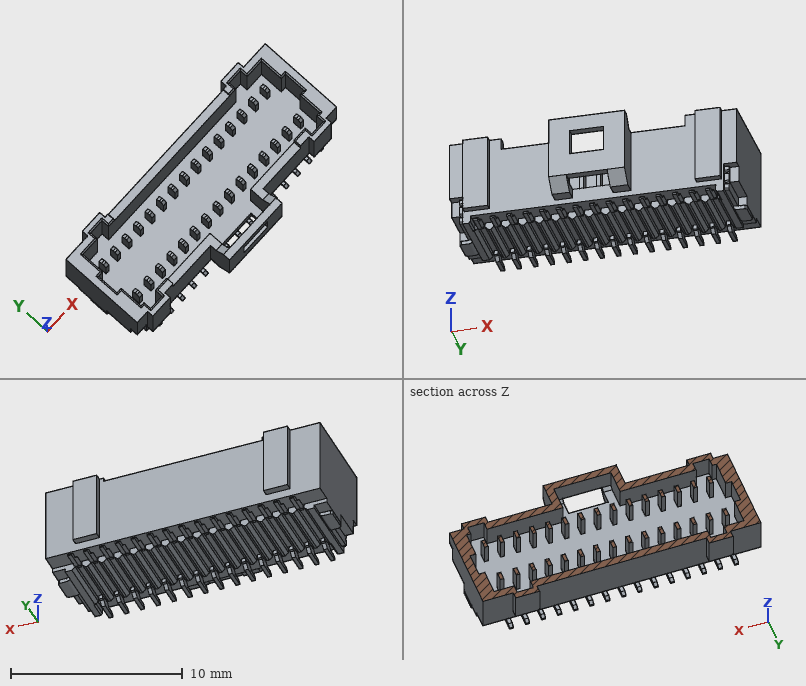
import cadquery as cq

length = 17.3
height = 5.4
half_length = length / 2
half_depth = 2.8
contact_count = 15
row_span = 14.0
pitch = row_span / (contact_count - 1)

base_bottom = 0.52
cavity_floor = 1.42
wall_foot = 0.26
rib_bottom = 0.05
rib_back = 1.76

cavity_half_length = 7.75
cavity_half_depth = 2.28
end_notch_half_length = 8.11
end_notch_half_width = 0.73
lead_in = 0.1

channel_width = 0.99
pad_wall_end = 0.26
pad_reach = 3.22
back_channel_outer = 6.5
front_channel_outer = 7.49
pad_width = 1.5
back_pad_bottom = 1.05
front_pad_bottom = 0.85

back_rim = 5.17
back_rim_half_length = 5.0
front_rim = 4.7
front_rim_half_length = 5.54

latch_half_width = 2.28
latch_wall = 0.52
latch_front = 4.29
latch_plate_back = 3.8
latch_bottom = 0.85
latch_chamfer_top = 1.61
latch_chamfer_back = 3.51
latch_slope_start = 3.24
latch_ledge_end = 3.6
latch_gap_half_width = 1.23
window_half_width = 1.02
window_bottom = 2.98
window_top = 4.5

rib_width = 0.55
rib_tip_width = 0.14
rib_shoulder = 0.25
end_rib_inner = 7.39
end_rib_chamfer = 0.1

contact_width = 0.25
pin_inner = 1.04
pin_outer = 1.6
pin_top = 3.34
pin_taper = 0.2
lead_thickness = 0.26
lead_tip = 3.17
lead_tip_chamfer = 0.2
lead_tip_height = 0.1
lead_heel = 2.02

plate_outer = 8.11
plate_inner = 7.85
recess_top = 1.83
recess_back = -2.28
pocket_back = -0.38
pocket_top = 0.85
plate_front = -2.55
plate_top_corner = 0.05
plate_heel_corner = 0.09
notch_depth = 0.1
notch_mouth_height = 0.25
notch_floor_height = 0.09
notch_levels = (1.44, 0.75)
foot_front = -0.48
foot_back = 0.95
foot_thickness = 0.25
foot_corner = 0.1
foot_bend_radius = 0.22


def block(x1, x2, y1, y2, z1, z2):
    """Box between two opposite corners."""
    return cq.Workplane("XY").box(x2 - x1, y2 - y1, z2 - z1, centered=False).translate((x1, y1, z1))


def side_prism(points, x1, x2):
    """Prism along X from an outline of (Y, Z) points."""
    return cq.Workplane("YZ").polyline(points).close().extrude(x2 - x1).translate((x1, 0, 0))


def both_ends(shape):
    """The shape together with its mirror image at the other end."""
    return shape.union(shape.mirror("YZ"))


def make_shell():
    """Outer block with the four pads that carry the polarising channels."""
    shell = block(-half_length, half_length, -half_depth, half_depth, base_bottom, height)
    back_outer = back_channel_outer + pad_wall_end
    front_outer = front_channel_outer + pad_wall_end
    back_pad = block(back_outer - pad_width, back_outer, 0, pad_reach, back_pad_bottom, height)
    front_pad = block(front_outer - pad_width, front_outer, -pad_reach, 0, front_pad_bottom, height)
    return shell.union(both_ends(back_pad)).union(both_ends(front_pad))


def cavity_part(x1, x2, y1, y2):
    """Rectangular stretch of the cavity, flared at the mouth."""
    well = block(x1, x2, y1, y2, cavity_floor, height)
    mouth = (
        cq.Workplane("XY", origin=((x1 + x2) / 2, (y1 + y2) / 2, height - lead_in))
        .rect(x2 - x1, y2 - y1)
        .workplane(offset=lead_in)
        .rect(x2 - x1 + 2 * lead_in, y2 - y1 + 2 * lead_in)
        .loft(ruled=True)
    )
    return well.union(mouth)


def make_cavity():
    cavity = cavity_part(-cavity_half_length, cavity_half_length, -cavity_half_depth, cavity_half_depth)
    end_notches = cavity_part(
        -end_notch_half_length, end_notch_half_length, -end_notch_half_width, end_notch_half_width
    )
    back_channel = cavity_part(back_channel_outer - channel_width, back_channel_outer, 0, half_depth)
    front_channel = cavity_part(front_channel_outer - channel_width, front_channel_outer, -half_depth, 0)
    return cavity.union(end_notches).union(both_ends(back_channel)).union(both_ends(front_channel))


def rim_cut(half_span, y1, y2, rim):
    """Material removed above the lowered rim of a long wall."""
    return block(-half_span, half_span, y1, y2, rim, height)


def make_latch():
    """Bridge in front of the -Y wall, with a catch window and an open underside."""
    outline = [
        (-half_depth, latch_bottom),
        (-latch_chamfer_back, latch_bottom),
        (-latch_front, latch_chamfer_top),
        (-latch_front, height),
        (-latch_plate_back, height),
        (-latch_slope_start, front_rim),
        (-half_depth, front_rim),
    ]
    bridge = side_prism(outline, -latch_half_width, latch_half_width)
    slot_half_width = latch_half_width - latch_wall
    slot_outline = [
        (-cavity_half_depth, cavity_floor),
        (-latch_ledge_end, cavity_floor),
        (-latch_plate_back, latch_chamfer_top),
        (-latch_plate_back, height),
        (-cavity_half_depth, height),
    ]
    slot = side_prism(slot_outline, -slot_half_width, slot_half_width)
    plate_gap = block(
        -latch_gap_half_width,
        latch_gap_half_width,
        -latch_front,
        -half_depth,
        latch_bottom,
        latch_chamfer_top,
    )
    window = block(
        -window_half_width, window_half_width, -latch_front, -latch_plate_back, window_bottom, window_top
    )
    return bridge.cut(plate_gap).cut(window), slot


def make_ribs():
    """Pointed ribs between the contacts and a full-depth rib at each end."""
    rib = (
        cq.Workplane("XZ", origin=(0, rib_back, 0))
        .polyline([
            (-rib_width / 2, base_bottom),
            (-rib_width / 2, rib_shoulder),
            (-rib_tip_width / 2, rib_bottom),
            (rib_tip_width / 2, rib_bottom),
            (rib_width / 2, rib_shoulder),
            (rib_width / 2, base_bottom),
        ])
        .close()
        .extrude(2 * rib_back)
    )
    end_rib = block(end_rib_inner, plate_inner, -half_depth, rib_back, rib_bottom, base_bottom)
    ribs = both_ends(end_rib.edges("|Y and <X and <Z").chamfer(end_rib_chamfer))
    for index in range(contact_count + 1):
        ribs = ribs.union(rib.translate(((index - contact_count / 2) * pitch, 0, 0)))
    return ribs


def make_contact():
    """Contact of the +Y row: tapered pin above the floor and solder lead below the base."""
    pin = side_prism(
        [
            (pin_inner, base_bottom),
            (pin_inner, pin_top - pin_taper),
            (pin_inner + pin_taper, pin_top),
            (pin_outer - pin_taper, pin_top),
            (pin_outer, pin_top - pin_taper),
            (pin_outer, base_bottom),
        ],
        -contact_width / 2,
        contact_width / 2,
    )
    lead_shoulder = lead_heel + base_bottom
    lead = side_prism(
        [
            (lead_heel, 0),
            (lead_tip, 0),
            (lead_tip, lead_tip_height),
            (lead_tip - lead_tip_chamfer, lead_thickness),
            (lead_shoulder, lead_thickness),
            (lead_shoulder - lead_thickness, base_bottom),
            (pin_outer, base_bottom),
            (pin_outer, lead_thickness),
            (lead_heel - lead_thickness, lead_thickness),
        ],
        -contact_width / 2,
        contact_width / 2,
    )
    return pin.union(lead)


def make_end_wall_foot():
    """Lower edge of the +X end wall, behind the hold-down pocket."""
    return block(plate_inner, half_length, pocket_back, rib_back, wall_foot, base_bottom)


def make_end_recess():
    """Pocket in the front lower corner of the +X end."""
    pocket = block(plate_inner, half_length, -half_depth, pocket_back, wall_foot, pocket_top)
    upright = block(plate_inner, half_length, -half_depth, recess_back, wall_foot, recess_top)
    return pocket.union(upright)


def make_hold_down():
    """Metal plate in the +X end: upright plate with a notched front edge and a solder foot."""
    plate = block(plate_inner, plate_outer, plate_front, rib_back, wall_foot, pocket_top)
    plate = plate.union(block(plate_inner, plate_outer, plate_front, recess_back, wall_foot, recess_top))
    plate = plate.edges("|X and <Y and >Z").chamfer(plate_top_corner)
    plate = plate.edges("|X and <Y and <Z").chamfer(plate_heel_corner)
    for level in notch_levels:
        notch = side_prism(
            [
                (plate_front, level - notch_mouth_height / 2),
                (plate_front + notch_depth, level - notch_floor_height / 2),
                (plate_front + notch_depth, level + notch_floor_height / 2),
                (plate_front, level + notch_mouth_height / 2),
            ],
            plate_inner,
            plate_outer,
        )
        plate = plate.cut(notch)
    foot = (
        block(plate_inner, half_length, foot_front, foot_back, 0, foot_thickness)
        .edges("|Z and >X")
        .chamfer(foot_corner)
        .edges("|Y and <X and <Z")
        .fillet(foot_bend_radius)
    )
    bend = block(plate_inner, plate_outer, foot_front, foot_back, foot_thickness, wall_foot)
    return plate.union(foot).union(bend)


latch, latch_slot = make_latch()
housing = make_shell().cut(make_cavity())
housing = housing.cut(rim_cut(back_rim_half_length, 0, half_depth, back_rim))
housing = housing.cut(rim_cut(front_rim_half_length, -half_depth, 0, front_rim))
housing = housing.union(latch).cut(latch_slot)
housing = housing.union(make_ribs()).union(both_ends(make_end_wall_foot()))

housing = housing.cut(both_ends(make_end_recess()))
result = housing.union(both_ends(make_hold_down()))

contact = make_contact()
contact_pair = contact.union(contact.mirror("XZ"))
for index in range(contact_count):
    contact_x = (index - (contact_count - 1) / 2) * pitch
    result = result.union(contact_pair.translate((contact_x, 0, 0)))